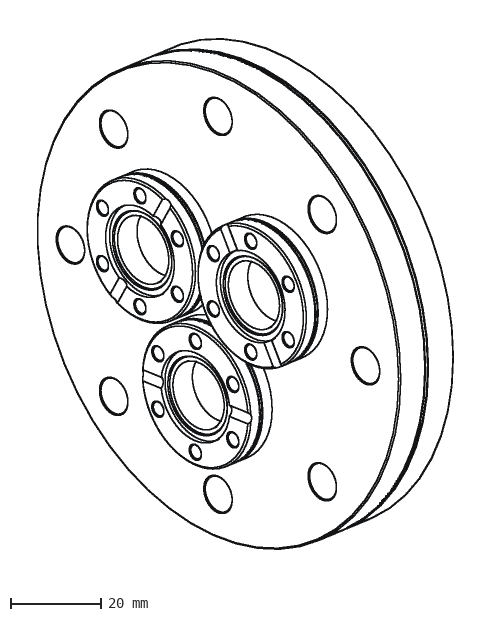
import cadquery as cq
import math

plate_diameter = 113.5
plate_thickness = 17.3
plate_chamfer = 0.3
plate_groove_start = 8.2
plate_groove_width = 0.9
plate_groove_depth = 0.2

plate_hole_count = 8
plate_hole_diameter = 8.4
plate_hole_circle = 92.2
plate_hole_chamfer = 0.2

overall_depth = 24.4
flange_count = 3
flange_center_radius = 20.0
flange_diameter = 33.8
flange_thickness = overall_depth - plate_thickness
flange_chamfer = 0.5
flange_groove_start = 3.0
flange_groove_width = 0.8
flange_groove_depth = 0.2
bore_diameter = 16.0

recess_diameter = 21.5
recess_depth = 1.2
knife_diameter = 18.5
land_diameter = 18.0
knife_drop = 0.7
land_drop = 1.0

screw_hole_count = 6
screw_hole_diameter = 3.3
screw_hole_circle = 27.0
screw_hole_chamfer = 0.2
slot_width = 2.7
slot_depth = 0.7

back_y = overall_depth / 2
plate_face_y = back_y - plate_thickness
flange_face_y = plate_face_y - flange_thickness


def disc(diameter, back, thickness):
    """Disc on the Y axis that runs from its back toward -Y."""
    return cq.Workplane("XZ", origin=(0, back, 0)).circle(diameter / 2).extrude(thickness)


def polar_points(count, radius, start_angle):
    """Evenly spaced (x, z) points on a circle, angles in degrees from +X toward +Z."""
    angles = [math.radians(start_angle + i * 360 / count) for i in range(count)]
    return [(radius * math.cos(a), radius * math.sin(a)) for a in angles]


def hole_cutters(points, diameter, back, depth):
    return (
        cq.Workplane("XZ", origin=(0, back, 0))
        .pushPoints(points)
        .circle(diameter / 2)
        .extrude(depth)
    )


def countersink_cutters(points, hole_diameter, chamfer, face):
    """45-degree cones that break the front edges of holes in a face."""
    return (
        cq.Workplane("XZ", origin=(0, face + chamfer, 0))
        .pushPoints(points)
        .circle(hole_diameter / 2)
        .extrude(chamfer, taper=-45)
    )


def rim_groove(diameter, depth, back, width):
    """Ring that cuts a shallow square groove into the rim of a disc."""
    return disc(diameter, back, width).cut(disc(diameter - 2 * depth, back, width))


def make_plate():
    plate = disc(plate_diameter, back_y, plate_thickness).edges().chamfer(plate_chamfer)
    groove_back = back_y - plate_groove_start
    plate = plate.cut(rim_groove(plate_diameter, plate_groove_depth, groove_back, plate_groove_width))
    bolt_points = polar_points(plate_hole_count, plate_hole_circle / 2, 0)
    plate = plate.cut(hole_cutters(bolt_points, plate_hole_diameter, back_y, plate_thickness))
    plate = plate.cut(
        countersink_cutters(bolt_points, plate_hole_diameter, plate_hole_chamfer, plate_face_y)
    )
    bore_points = polar_points(flange_count, flange_center_radius, -90)
    return plate.cut(hole_cutters(bore_points, bore_diameter, back_y, plate_thickness))


def recess_cutter():
    """Ring-shaped recess whose floor slopes up inward to the knife edge, with a flat land inside it."""
    profile = [
        (0, flange_face_y),
        (recess_diameter / 2, flange_face_y),
        (recess_diameter / 2, flange_face_y + recess_depth),
        (knife_diameter / 2, flange_face_y + knife_drop),
        (land_diameter / 2, flange_face_y + land_drop),
        (0, flange_face_y + land_drop),
    ]
    return cq.Workplane("XY").polyline(profile).close().revolve(360, (0, 0, 0), (0, 1, 0))


def slot_cutter():
    """Round-bottomed slot across the flange face, along X."""
    half = slot_width / 2
    return (
        cq.Workplane("YZ", origin=(-flange_diameter / 2, 0, 0))
        .moveTo(flange_face_y, -half)
        .threePointArc((flange_face_y + slot_depth, 0), (flange_face_y, half))
        .close()
        .extrude(flange_diameter)
    )


def make_flange():
    """One flange centred on the Y axis, with its slot along X."""
    flange = disc(flange_diameter, plate_face_y, flange_thickness)
    flange = flange.faces("<Y").edges().chamfer(flange_chamfer)
    groove_back = plate_face_y - flange_groove_start
    flange = flange.cut(rim_groove(flange_diameter, flange_groove_depth, groove_back, flange_groove_width))
    flange = flange.cut(slot_cutter())
    flange = flange.cut(recess_cutter())
    flange = flange.cut(disc(bore_diameter, plate_face_y, flange_thickness))
    screw_points = polar_points(screw_hole_count, screw_hole_circle / 2, 90)
    flange = flange.cut(hole_cutters(screw_points, screw_hole_diameter, plate_face_y, flange_thickness))
    return flange.cut(
        countersink_cutters(screw_points, screw_hole_diameter, screw_hole_chamfer, flange_face_y)
    )


plate = make_plate()

lowest_flange = make_flange().translate((0, 0, -flange_center_radius))
flanges = []
for i in range(flange_count):
    flange = lowest_flange.rotate((0, 0, 0), (0, 1, 0), i * 360 / flange_count)
    flanges.append(flange.val())

result = cq.Compound.makeCompound([plate.val(), *flanges])